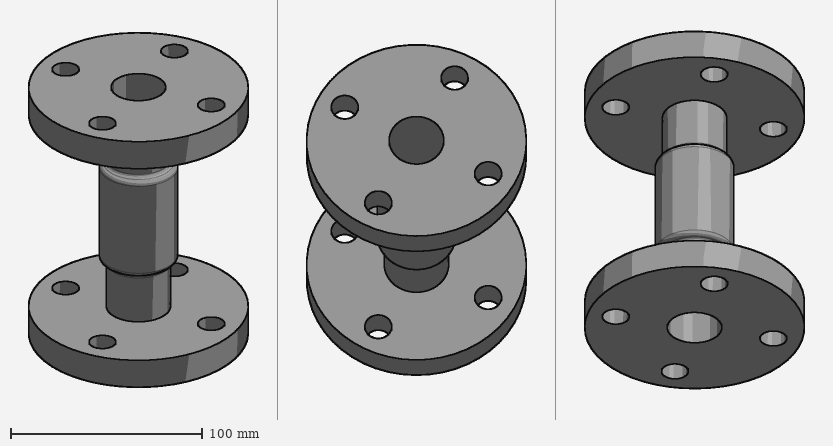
import cadquery as cq
import math

total_length = 148.0
half_length = total_length / 2

flange_diameter = 115.0
flange_thickness = 16.3
bolt_circle_diameter = 85.0
bolt_hole_diameter = 14.0
bolt_hole_count = 4
first_bolt_angle = 45.0

bore_diameter = 28.5
pipe_radius = 33.7 / 2
sleeve_radius = 41.3 / 2
sleeve_half_length = 26.2

shoulder_radius = 3.0
root_radius = 2.2
radius_sum = shoulder_radius + root_radius
blend_angle = math.acos(1 - (sleeve_radius - pipe_radius) / radius_sum)


def shoulder_point(angle):
    """Radius and height on the convex arc, measured from the sleeve wall."""
    return (
        sleeve_radius - shoulder_radius * (1 - math.cos(angle)),
        sleeve_half_length + shoulder_radius * math.sin(angle),
    )


blend_end_height = sleeve_half_length + radius_sum * math.sin(blend_angle)


def root_point(angle):
    """Radius and height on the concave arc, measured back from the pipe wall."""
    return (
        pipe_radius + root_radius * (1 - math.cos(angle)),
        blend_end_height - root_radius * math.sin(angle),
    )


def mirrored(point):
    """The same profile point on the lower half of the part."""
    return (point[0], -point[1])


def make_body():
    """Solid of revolution: two flanges, the pipe and the blended sleeve."""
    flange_radius = flange_diameter / 2
    flange_inner_height = half_length - flange_thickness
    shoulder_mid = shoulder_point(blend_angle / 2)
    junction = shoulder_point(blend_angle)
    root_mid = root_point(blend_angle / 2)
    root_end = (pipe_radius, blend_end_height)
    sleeve_end = (sleeve_radius, sleeve_half_length)
    return (
        cq.Workplane("XZ")
        .moveTo(0, half_length)
        .lineTo(flange_radius, half_length)
        .lineTo(flange_radius, flange_inner_height)
        .lineTo(pipe_radius, flange_inner_height)
        .lineTo(*root_end)
        .threePointArc(root_mid, junction)
        .threePointArc(shoulder_mid, sleeve_end)
        .lineTo(*mirrored(sleeve_end))
        .threePointArc(mirrored(shoulder_mid), mirrored(junction))
        .threePointArc(mirrored(root_mid), mirrored(root_end))
        .lineTo(pipe_radius, -flange_inner_height)
        .lineTo(flange_radius, -flange_inner_height)
        .lineTo(flange_radius, -half_length)
        .lineTo(0, -half_length)
        .close()
        .revolve(360, (0, 0, 0), (0, 1, 0))
    )


def make_holes():
    """Central bore and the bolt holes, running the full length of the part."""
    base = cq.Workplane("XY").workplane(offset=-half_length)
    bore = base.circle(bore_diameter / 2).extrude(total_length)
    bolt_holes = (
        base.polarArray(bolt_circle_diameter / 2, first_bolt_angle, 360, bolt_hole_count)
        .circle(bolt_hole_diameter / 2)
        .extrude(total_length)
    )
    return bore.union(bolt_holes)


result = make_body().cut(make_holes())